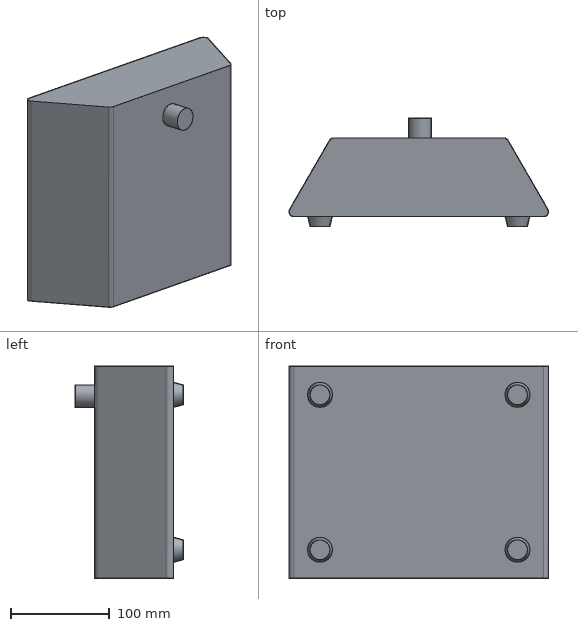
import cadquery as cq
import math

width = 263.0
height = 215.0
depth = 80.0
side_angle = 30.0
corner_radius = 5.0

foot_spacing_x = 200.0
foot_spacing_z = 157.0
foot_base_radius = 12.5
foot_tip_radius = 10.0
foot_length = 10.0

stud_radius = 11.5
stud_length = 20.0
stud_offset_x = 1.3
stud_drop = 30.5


def make_body():
    corner_angle = math.radians(90 - side_angle)
    tangent_length = corner_radius / math.tan(corner_angle / 2)
    front_half = width / 2 - corner_radius + tangent_length
    back_half = front_half - depth * math.tan(math.radians(side_angle))
    outline = [
        (-front_half, 0),
        (front_half, 0),
        (back_half, depth),
        (-back_half, depth),
    ]
    body = cq.Workplane("XY").polyline(outline).close().extrude(height)
    return body.edges("|Z").fillet(corner_radius)


def make_foot(x, z):
    return cq.Workplane(
        cq.Solid.makeCone(
            foot_base_radius,
            foot_tip_radius,
            foot_length,
            pnt=cq.Vector(x, 0, z),
            dir=cq.Vector(0, -1, 0),
        )
    )


def make_stud():
    return cq.Workplane(
        cq.Solid.makeCylinder(
            stud_radius,
            stud_length,
            pnt=cq.Vector(stud_offset_x, depth, height - stud_drop),
            dir=cq.Vector(0, 1, 0),
        )
    )


result = make_body().union(make_stud())
for side_x in (-1, 1):
    for side_z in (-1, 1):
        foot_x = side_x * foot_spacing_x / 2
        foot_z = height / 2 + side_z * foot_spacing_z / 2
        result = result.union(make_foot(foot_x, foot_z))